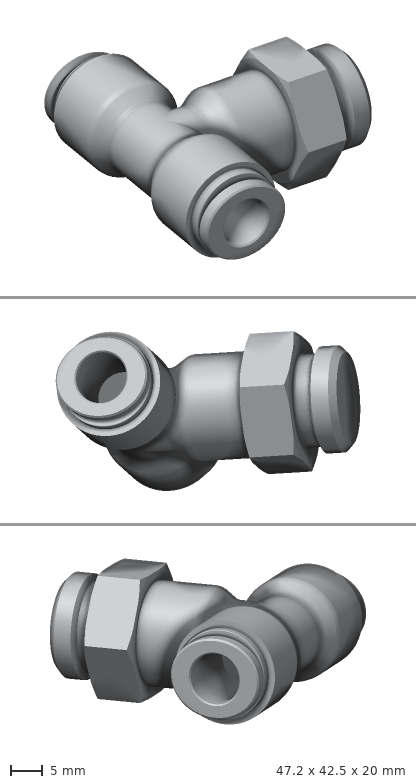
import cadquery as cq
import math

overall_length = 47.2
overall_depth = 42.45

arm_diameter = 16.85
waist_diameter = 13.0
arm_end = 19.0
shoulder_outer = 9.05
shoulder_inner = 6.05
shoulder_fillet = 2.0

bore_diameter = 8.2
bore_floor = 9.65
bore_chamfer = 0.25

ring_diameter = 14.65
ring_end = 20.7
ring_edge_fillet = 0.15

flange_width = 14.85
flange_height = 13.05
flange_thickness = 2.1
flange_chamfer = 0.3
neck_diameter = 9.6

hex_across_flats = 20.0
hex_thickness = 8.0
hex_bevel_diameter = 20.55
hex_bevel_depth = 0.42
groove_diameter = 14.75
groove_fillet = 0.42
spigot_diameter = 16.9
spigot_length = 4.55
spigot_lead_in = 0.6
spigot_chamfer = 1.1

overall_reach = overall_depth - arm_diameter / 2
collar_end = overall_length / 2
hex_end = arm_end + hex_thickness
flange_inner = collar_end - flange_thickness
run_sides = (-1, 1)
select_margin = 0.05


def rod(diameter, start, end, side=1):
    """Cylinder on the X axis between two distances from the tee centre."""
    plane = cq.Workplane("YZ", origin=(side * start, 0, 0))
    return plane.circle(diameter / 2).extrude(side * (end - start))


def turn_about_branch(outline):
    """Solid of revolution about Y from (radius, y) points."""
    return cq.Workplane("XY").polyline(outline).close().revolve(360, (0, 0, 0), (0, 1, 0))


def outer_face(side):
    """Selector of the face that looks away from the tee centre."""
    return ">X" if side > 0 else "<X"


def make_arm():
    """One arm along +Y, starting at the tee centre, with a filleted conical shoulder."""
    arm = turn_about_branch([
        (0, 0),
        (waist_diameter / 2, 0),
        (waist_diameter / 2, shoulder_inner),
        (arm_diameter / 2, shoulder_outer),
        (arm_diameter / 2, arm_end),
        (0, arm_end),
    ])
    shoulder_zone = cq.selectors.BoxSelector(
        (-arm_diameter, shoulder_inner - select_margin, -arm_diameter),
        (arm_diameter, shoulder_outer + select_margin, arm_diameter),
    )
    shoulder_edges = arm.edges("%CIRCLE").edges(shoulder_zone)
    return shoulder_edges.fillet(shoulder_fillet)


def make_housing():
    arm = make_arm()
    housing = arm
    for side in run_sides:
        housing = housing.union(arm.rotate((0, 0, 0), (0, 0, 1), side * 90))
    for side in run_sides:
        housing = housing.cut(rod(bore_diameter, bore_floor, arm_end, side))
    return housing


def make_ring(side):
    ring = rod(ring_diameter, arm_end, ring_end, side)
    ring = ring.faces(outer_face(side)).edges().fillet(ring_edge_fillet)
    return ring.cut(rod(bore_diameter, arm_end, ring_end, side))


def make_collar(side):
    flange = (
        cq.Workplane("YZ", origin=(side * flange_inner, 0, 0))
        .ellipse(flange_width / 2, flange_height / 2)
        .extrude(side * flange_thickness)
        .faces(outer_face(side)).edges().chamfer(flange_chamfer)
    )
    collar = flange.union(rod(neck_diameter, ring_end, flange_inner, side))
    collar = collar.cut(rod(bore_diameter, ring_end, collar_end, side))
    return collar.faces(outer_face(side)).edges("%CIRCLE").chamfer(bore_chamfer)


def make_hexagon():
    """Hexagon with two flats facing +Z and -Z, bevelled at both ends."""
    corner_radius = hex_across_flats / 2 / math.cos(math.radians(30))
    bevel_radius = hex_bevel_diameter / 2
    prism = (
        cq.Workplane("XZ", origin=(0, arm_end, 0))
        .polygon(6, 2 * corner_radius)
        .extrude(-hex_thickness)
    )
    bevel_envelope = turn_about_branch([
        (0, arm_end),
        (bevel_radius, arm_end),
        (corner_radius, arm_end + hex_bevel_depth),
        (corner_radius, hex_end - hex_bevel_depth),
        (bevel_radius, hex_end),
        (0, hex_end),
    ])
    return prism.intersect(bevel_envelope)


def make_spigot():
    """Groove, lead-in cone and chamfered end, turned about the branch axis."""
    groove_radius = groove_diameter / 2
    spigot_radius = spigot_diameter / 2
    groove_end = overall_reach - spigot_length
    return turn_about_branch([
        (0, hex_end),
        (groove_radius, hex_end),
        (groove_radius, groove_end),
        (spigot_radius, groove_end + spigot_lead_in),
        (spigot_radius, overall_reach - spigot_chamfer),
        (spigot_radius - spigot_chamfer, overall_reach),
        (0, overall_reach),
    ])


def make_stud():
    stud = make_hexagon().union(make_spigot())
    root_zone = cq.selectors.BoxSelector(
        (-groove_diameter, hex_end - select_margin, -groove_diameter),
        (groove_diameter, hex_end + select_margin, groove_diameter),
    )
    root_edge = stud.edges("%CIRCLE").edges(root_zone).edges(cq.selectors.RadiusNthSelector(0))
    return root_edge.fillet(groove_fillet)


housing = make_housing()
stud = make_stud()
rings = [make_ring(side) for side in run_sides]
collars = [make_collar(side) for side in run_sides]

result = cq.Compound.makeCompound([
    housing.val(),
    stud.val(),
    *[ring.val() for ring in rings],
    *[collar.val() for collar in collars],
])